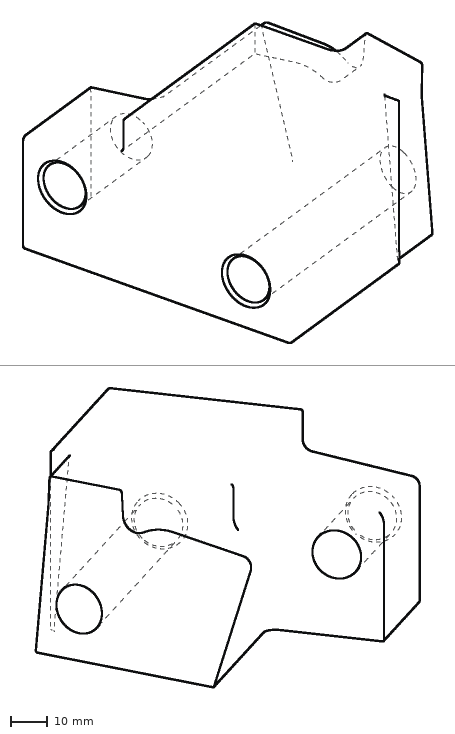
import cadquery as cq
import math

LENGTH = 89.9
DEPTH = 83.4
HEIGHT = 53.0

SHELF_LEFT_HEIGHT = 36.8
SHELF_SLOPE = 7.8
SHELF_BEND_X = 46.3
SHELF_ROLL_RADIUS = 14.4
SHELF_ROLL_END_X = 55.4
SHELF_END_X = 61.7
SHELF_BEND_HEIGHT = SHELF_LEFT_HEIGHT + SHELF_BEND_X * math.tan(math.radians(SHELF_SLOPE))

ROLL_CENTRE_X = SHELF_BEND_X + SHELF_ROLL_RADIUS * math.sin(math.radians(SHELF_SLOPE))
ROLL_CENTRE_Z = SHELF_BEND_HEIGHT - SHELF_ROLL_RADIUS * math.cos(math.radians(SHELF_SLOPE))
ROLL_END_ANGLE = math.asin((SHELF_ROLL_END_X - ROLL_CENTRE_X) / SHELF_ROLL_RADIUS)
ROLL_END_HEIGHT = ROLL_CENTRE_Z + SHELF_ROLL_RADIUS * math.cos(ROLL_END_ANGLE)

END_RADIUS = (SHELF_END_X - SHELF_ROLL_END_X) / (1 + math.sin(ROLL_END_ANGLE))
END_ARC_TOP = ROLL_END_HEIGHT + END_RADIUS * math.cos(ROLL_END_ANGLE)

BLOCK_LEFT_X = 33.6
BLOCK_BACK_Y = 63.5
BLOCK_ROOT_RADIUS = 3.1

BACK_ANGLE = 11.8
BACK_CORNER_Y = 83.5
BACK_BREAK_Z = 43.7
BACK_LOWER_FLARE = 0.7
BACK_UPPER_OVERHANG = 1.3

CUTOUT_FRONT_Y = 33.1
CUTOUT_TOP_X = 21.0
CUTOUT_TOP_Z = 40.5
CUTOUT_BASE_X = 33.6
CUTOUT_RADIUS = 3.1

NOTCH_FRONT_Y = 52.1
NOTCH_TOP_X = 84.0
NOTCH_BASE_X = 88.5
NOTCH_RADIUS = 2.0

HOLES = [(13.6, 24.3), (75.1, 15.4)]
HOLE_DIAMETER = 14.0
HOLE_CHAMFER = 1.1

CORNER_RADIUS = 2.9
SMALL_RADIUS = 0.9

CLEARANCE = 9.0


def extrude_back(profile, start, length):
    """Extrude an XZ outline towards +Y from the given Y."""
    outline = cq.Workplane("XZ", origin=(0, start, 0)).polyline(profile).close()
    return outline.extrude(-length)


def make_base():
    """Block with the sloping shelf swept through its full depth."""
    shelf = (
        cq.Workplane("XZ")
        .lineTo(0, SHELF_LEFT_HEIGHT)
        .lineTo(SHELF_BEND_X, SHELF_BEND_HEIGHT)
        .tangentArcPoint((SHELF_ROLL_END_X, ROLL_END_HEIGHT), relative=False)
        .tangentArcPoint((SHELF_END_X, END_ARC_TOP), relative=False)
        .lineTo(SHELF_END_X, HEIGHT)
        .lineTo(LENGTH, HEIGHT)
        .lineTo(LENGTH, 0)
        .close()
        .extrude(-DEPTH - CLEARANCE)
    )
    block = cq.Workplane().box(LENGTH - BLOCK_LEFT_X, BLOCK_BACK_Y, HEIGHT, centered=False)
    return shelf.union(block.translate((BLOCK_LEFT_X, 0, 0)))


def round_block_root(body):
    """Blend the raised block into the shelf along its left and back walls."""
    middle_y = BLOCK_BACK_Y / 2
    left_root_z = SHELF_LEFT_HEIGHT + BLOCK_LEFT_X * math.tan(math.radians(SHELF_SLOPE))
    upright_z = (HEIGHT + END_ARC_TOP) / 2
    back_root_x = (BLOCK_LEFT_X + SHELF_BEND_X) / 2
    back_root_z = SHELF_LEFT_HEIGHT + back_root_x * math.tan(math.radians(SHELF_SLOPE))
    body = body.edges(
        cq.selectors.NearestToPointSelector((SHELF_END_X, BLOCK_BACK_Y, upright_z))
    ).fillet(BLOCK_ROOT_RADIUS)
    left_root = cq.selectors.NearestToPointSelector((BLOCK_LEFT_X, middle_y, left_root_z))
    back_root = cq.selectors.NearestToPointSelector((back_root_x, BLOCK_BACK_Y, back_root_z))
    return body.edges(left_root + back_root).fillet(BLOCK_ROOT_RADIUS)


def make_back_envelope():
    """Region kept in front of the slanted, two-stage back."""
    envelope = (
        cq.Workplane("YZ")
        .moveTo(-2 * LENGTH, 0)
        .lineTo(BACK_LOWER_FLARE, 0)
        .lineTo(0, BACK_BREAK_Z)
        .lineTo(BACK_UPPER_OVERHANG, HEIGHT)
        .lineTo(-2 * LENGTH, HEIGHT)
        .close()
        .extrude(2 * LENGTH, both=True)
    )
    envelope = envelope.rotate((0, 0, 0), (0, 0, 1), -BACK_ANGLE)
    return envelope.translate((CUTOUT_TOP_X, BACK_CORNER_Y, 0))


def make_left_cutout():
    lean = (CUTOUT_BASE_X - CUTOUT_TOP_X) / CUTOUT_TOP_Z
    top_x = CUTOUT_BASE_X - lean * HEIGHT
    profile = [(-CLEARANCE, 0), (CUTOUT_BASE_X, 0), (top_x, HEIGHT), (-CLEARANCE, HEIGHT)]
    cutter = extrude_back(profile, CUTOUT_FRONT_Y, DEPTH)
    return cutter.faces("<Y").edges(">X").fillet(CUTOUT_RADIUS)


def make_right_notch():
    outer_x = LENGTH + CLEARANCE
    profile = [(NOTCH_BASE_X, 0), (outer_x, 0), (outer_x, HEIGHT), (NOTCH_TOP_X, HEIGHT)]
    cutter = extrude_back(profile, NOTCH_FRONT_Y, DEPTH)
    return cutter.faces("<Y").edges("<X").fillet(NOTCH_RADIUS)


def round_shelf_rim(body):
    """Round the shelf's outer rim above the base's left end and the cutout."""
    wing_middle_y = (CUTOUT_FRONT_Y + DEPTH) / 2
    nearest = cq.selectors.NearestToPointSelector
    left_rim = nearest((0, CUTOUT_FRONT_Y / 2, SHELF_LEFT_HEIGHT))
    wing_rim = nearest((CUTOUT_TOP_X, wing_middle_y, CUTOUT_TOP_Z))
    return body.edges(left_rim + wing_rim).fillet(CORNER_RADIUS)


def round_small_edges(body):
    """Ease the front outline, the base and the top of the raised block."""
    front = body.faces("<Y").edges()
    base = body.faces("<Z").edges()
    top = body.faces(">Z").edges("not(>Y)")
    eased = front.add(base).add(top)
    return eased.fillet(SMALL_RADIUS)


def drill_holes(body):
    """Drill the through holes and chamfer their front mouths."""
    mouth_radius = HOLE_DIAMETER / 2 + HOLE_CHAMFER
    for x, z in HOLES:
        front = cq.Workplane("XZ", origin=(x, 0, z))
        shaft = front.circle(HOLE_DIAMETER / 2).extrude(-DEPTH - CLEARANCE)
        mouth = cq.Solid.makeCone(
            mouth_radius,
            HOLE_DIAMETER / 2,
            HOLE_CHAMFER,
            pnt=cq.Vector(x, 0, z),
            dir=cq.Vector(0, 1, 0),
        )
        body = body.cut(shaft).cut(cq.Workplane(mouth))
    return body


body = round_block_root(make_base())
body = body.intersect(make_back_envelope())
body = body.cut(make_left_cutout()).cut(make_right_notch())
body = round_shelf_rim(body)
body = round_small_edges(body)
result = drill_holes(body)